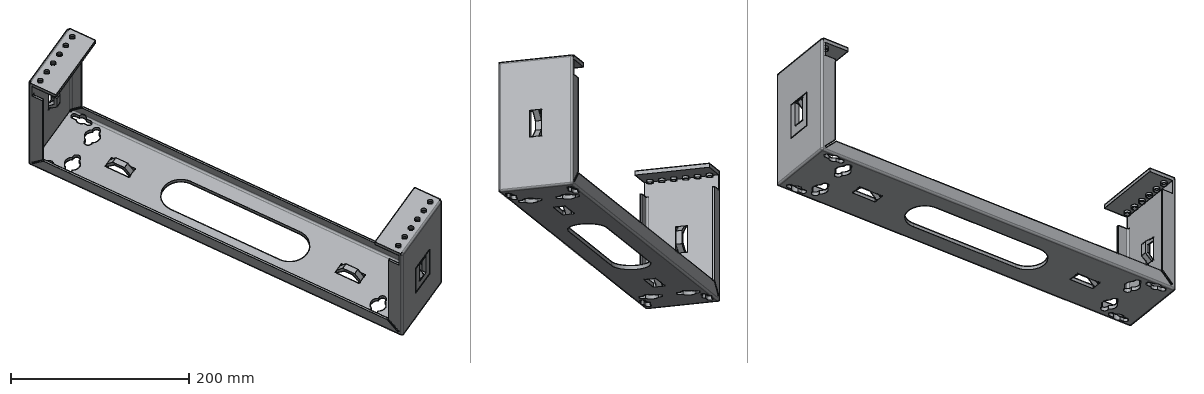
import cadquery as cq

pad_thickness = 0.5
width = 486 - pad_thickness
depth = 89.0
height = 152.0

sheet = 5.0
flange_thickness = 2.5
outer_bend = 2.5
inner_bend = 2.5
flange_width = 18.5
lip_length = 36.0
miter_gap = 2.0
notch_bottom = height - 22.5

lip_hole_count = 6
lip_hole_span = 71.5
lip_hole_inset = 10.5
lip_hole_diameter = 6.5
collar_diameter = 8.0
collar_drop = 3.0

oval_length = 186.0
oval_width = 45.0
keyhole_x = 198.5
keyhole_y = 22.5
keyhole_diameter = 18.0
keyhole_slot_length = 27.5
keyhole_slot_width = 8.7
corner_hole_length = 26.0
corner_hole_slot_width = 7.0
corner_hole_diameter = 11.5
corner_hole_end_inset = 9.0
corner_hole_side_inset = 8.0
floor_cut_depth = sheet + inner_bend

bridge_length = 31.0
bridge_opening_width = 14.0
bridge_width = 7.5
bridge_top_flat = 15.5
bridge_under_flat = 10.5
bridge_rise = 8.7
bridge_thickness = 4.0
bridge_x = 149.0

pad_width = 31.0
pad_height = 45.0
pad_mid_height = 71.0

half_width = width / 2
half_depth = depth / 2
mid_height = height / 2
sides = (-1, 1)


def box(x_range, y_range, z_range):
    """Axis-aligned block between three coordinate pairs."""
    size = [high - low for low, high in (x_range, y_range, z_range)]
    low_corner = (x_range[0], y_range[0], z_range[0])
    return cq.Workplane("XY").box(*size, centered=False).translate(low_corner)


def folded_shell():
    """Floor, end walls, lips and edge flanges as one bent sheet."""
    block = box((-half_width, half_width), (-half_depth, half_depth), (0, height))
    block = block.edges("|Z").fillet(outer_bend)
    block = block.faces("<Z").edges().fillet(outer_bend)
    block = block.faces(">Z").edges("|Y").fillet(outer_bend)

    inner_x = half_width - sheet
    inner_y = half_depth - flange_thickness
    cavity = box((-inner_x, inner_x), (-inner_y, inner_y), (sheet, height - sheet))
    cavity = cavity.edges("|Z or (<Z and |X)").fillet(inner_bend)

    window_x = half_width - flange_width
    window = box((-window_x, window_x), (-depth, depth), (flange_width, height + 5))
    notch = box((-inner_x, inner_x), (-depth, depth), (notch_bottom, height - sheet))
    lip_opening_x = half_width - lip_length
    lip_x = half_width - outer_bend
    lip_y = (-half_depth, half_depth)
    lips = box((-lip_x, lip_x), lip_y, (height - sheet, height))
    lips = lips.cut(box((-lip_opening_x, lip_opening_x), lip_y, (height - sheet, height)))
    return block.cut(cavity).cut(window).cut(notch).union(lips)


def miter_cut(side):
    """Diagonal gap between the wall flanges and the floor flanges of one corner."""
    gap_step = miter_gap / 2**0.5
    inside = flange_width + gap_step
    points = [
        (sheet, sheet + gap_step),
        (sheet + gap_step, sheet),
        (inside + gap_step, inside),
        (inside, inside + gap_step),
    ]
    outline = [(side * (half_width - x), z) for x, z in points]
    return cq.Workplane("XZ").polyline(outline).close().extrude(depth, both=True)


def lip_hole_points(side):
    """Evenly spaced hole centers along one lip."""
    pitch = lip_hole_span / (lip_hole_count - 1)
    x = side * (half_width - lip_hole_inset)
    return [(x, i * pitch - lip_hole_span / 2) for i in range(lip_hole_count)]


def lip_cylinders(side, diameter, drop):
    """Cylinders at the lip holes, from the lip top to a drop below the lip."""
    top = cq.Workplane("XY").workplane(offset=height).pushPoints(lip_hole_points(side))
    return top.circle(diameter / 2).extrude(-(sheet + drop))


def keyholes(x, y, diameter, slot_length, slot_width, slot_angle):
    """Four mirrored cutters through the floor: a round hole crossed by a longer slot."""
    points = [(i * x, j * y) for i in sides for j in sides]
    centers = cq.Workplane("XY").pushPoints(points)
    rounds = centers.circle(diameter / 2).extrude(floor_cut_depth)
    return rounds.union(centers.slot2D(slot_length, slot_width, slot_angle).extrude(floor_cut_depth))


def floor_openings():
    """Central oval, four keyholes across the floor and four smaller ones in its corners."""
    oval = cq.Workplane("XY").slot2D(oval_length, oval_width).extrude(floor_cut_depth)
    large = keyholes(
        keyhole_x, keyhole_y, keyhole_diameter, keyhole_slot_length, keyhole_slot_width, 90
    )
    corner = keyholes(
        half_width - corner_hole_end_inset - corner_hole_length / 2,
        half_depth - corner_hole_side_inset,
        corner_hole_diameter,
        corner_hole_length,
        corner_hole_slot_width,
        0,
    )
    return oval.union(large).union(corner)


def bridge():
    """Raised strap along X, bent up out of a level sheet."""
    half_length = bridge_length / 2
    half_top = bridge_top_flat / 2
    half_under = bridge_under_flat / 2
    top = sheet + bridge_rise
    underside = top - bridge_thickness
    profile = [
        (-half_length, 0),
        (-half_length, sheet),
        (-half_top, top),
        (half_top, top),
        (half_length, sheet),
        (half_length, 0),
        (half_under, underside),
        (-half_under, underside),
    ]
    strap = cq.Workplane("XZ").polyline(profile).close()
    return strap.extrude(bridge_width / 2, both=True)


def bridge_opening(outside):
    """Rectangular window through the sheet, reaching further below it."""
    half_length = bridge_length / 2
    half_opening = bridge_opening_width / 2
    return box((-half_length, half_length), (-half_opening, half_opening), (-outside, sheet))


def on_wall(shape, side):
    """Move a floor feature to the middle of an end wall."""
    turned = shape.rotate((0, 0, 0), (0, 1, 0), -side * 90)
    return turned.translate((side * half_width, 0, mid_height))


result = folded_shell()
result = result.cut(floor_openings())
for side in sides:
    result = result.cut(miter_cut(side))
    result = result.union(lip_cylinders(side, collar_diameter, collar_drop))
    result = result.cut(lip_cylinders(side, lip_hole_diameter, collar_drop))

pad = box(
    (half_width - sheet, half_width + pad_thickness),
    (-pad_width / 2, pad_width / 2),
    (pad_mid_height - pad_height / 2, pad_mid_height + pad_height / 2),
)
result = result.union(pad)

for side in sides:
    floor_shift = (side * bridge_x, 0, 0)
    result = result.cut(bridge_opening(0).translate(floor_shift))
    result = result.union(bridge().translate(floor_shift))
    result = result.cut(on_wall(bridge_opening(pad_thickness), side))
    result = result.union(on_wall(bridge(), side))